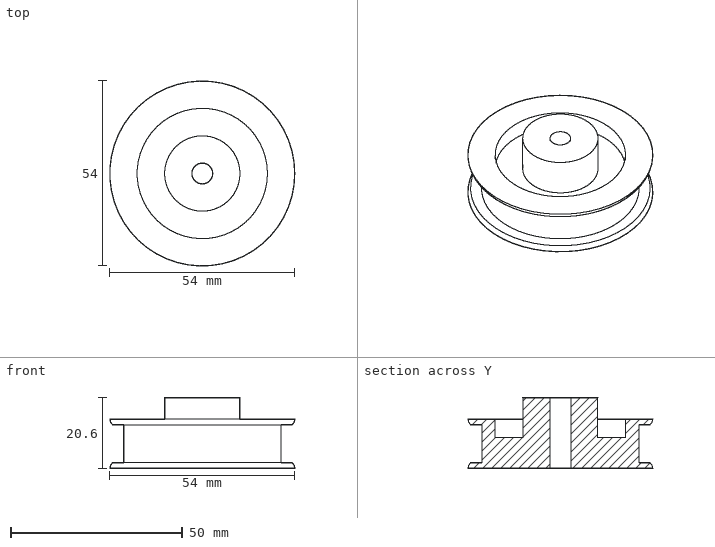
import cadquery as cq
import math

flange_diameter = 54.0
total_height = 20.6

drum_diameter = 46.0
flange_thickness = 1.6
rim_height = 14.3
edge_inset = 0.8

hub_diameter = 22.0
recess_diameter = 38.0
recess_floor = 9.0
bore_diameter = 6.0


def disc(diameter, bottom, top):
    """Solid cylinder on the Z axis between two heights."""
    return cq.Workplane("XY").workplane(offset=bottom).circle(diameter / 2).extrude(top - bottom)


def flange(outer_face, groove_face):
    """Flange whose edge curves inward from its outer face to its groove face."""
    outer_radius = flange_diameter / 2
    arc_radius = (flange_thickness**2 + edge_inset**2) / (2 * edge_inset)
    arc_middle_angle = math.asin(flange_thickness / arc_radius) / 2
    arc_middle = (
        outer_radius - arc_radius * (1 - math.cos(arc_middle_angle)),
        outer_face + math.copysign(arc_radius * math.sin(arc_middle_angle), groove_face - outer_face),
    )
    return (
        cq.Workplane("XZ")
        .moveTo(0, outer_face)
        .lineTo(outer_radius, outer_face)
        .threePointArc(arc_middle, (outer_radius - edge_inset, groove_face))
        .lineTo(0, groove_face)
        .close()
        .revolve(360, (0, 0), (0, 1))
    )


lower_flange = flange(0, flange_thickness)
upper_flange = flange(rim_height, rim_height - flange_thickness)
rim = disc(drum_diameter, 0, rim_height).union(lower_flange).union(upper_flange)

recess = disc(recess_diameter, recess_floor, rim_height)
hub = disc(hub_diameter, 0, total_height)
bore = disc(bore_diameter, 0, total_height)

result = rim.cut(recess).union(hub).cut(bore)